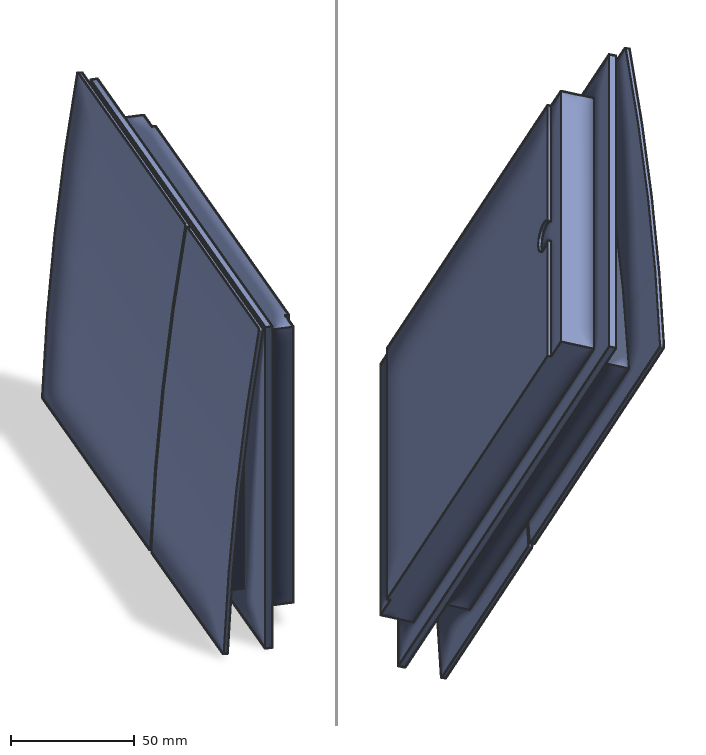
import cadquery as cq
import math

total_width = 250.0
plate_width = 240.8
plate_height = 144.2
plate_thickness = 3.0
mid_z = plate_height / 2

core_width = 181.8
core_height = 117.5

housing_width = 206.0
housing_height = 123.8
housing_depth = 14.2
pad_width = 183.5
pad_thickness = 1.5
notch_diameter = 13.0
notch_opening = 9.8

left_button_width = 148.8
button_gap = 1.5
button_thickness = 1.8
button_corner_radius = 1.0
outer_top_y = -4.0
outer_top_z = 146.2
outer_bottom_y = -19.0
outer_bottom_z = 2.0
bulge = 2.2

chord = math.hypot(outer_top_y - outer_bottom_y, outer_top_z - outer_bottom_z)
outer_radius = (chord / 2) ** 2 / (2 * bulge) + bulge / 2
inner_radius = outer_radius - button_thickness
tilt = math.atan2(outer_top_y - outer_bottom_y, outer_top_z - outer_bottom_z)
half_angle = math.asin(chord / 2 / outer_radius)
center_offset = outer_radius - bulge
center_y = (outer_top_y + outer_bottom_y) / 2 + center_offset * math.cos(tilt)
center_z = (outer_top_z + outer_bottom_z) / 2 - center_offset * math.sin(tilt)


def arc_point(radius, angle):
    """Point (y, z) on a circle about the curve centre; positive angles lie toward the top edge."""
    direction = angle + tilt
    return (center_y - radius * math.cos(direction), center_z + radius * math.sin(direction))


def make_button(x_start, width):
    """Curved sheet of constant thickness with rounded corners."""
    return (
        cq.Workplane("YZ", origin=(x_start, 0, 0))
        .moveTo(*arc_point(outer_radius, -half_angle))
        .threePointArc(arc_point(outer_radius, 0), arc_point(outer_radius, half_angle))
        .lineTo(*arc_point(inner_radius, half_angle))
        .threePointArc(arc_point(inner_radius, 0), arc_point(inner_radius, -half_angle))
        .close()
        .extrude(width)
        .faces(">Z or <Z")
        .edges("not |X")
        .fillet(button_corner_radius)
    )


def block(width, y_front, y_back, height):
    """Box centred on the plate, from y_front to y_back."""
    depth = y_back - y_front
    return cq.Workplane("XY").box(width, depth, height).translate((0, y_front + depth / 2, mid_z))


def make_base_plate():
    """Flat plate with a core block whose front follows the inner face of the buttons."""
    plate = block(plate_width, 0, plate_thickness, plate_height)
    core = block(core_width, outer_bottom_y, 0, core_height)
    inner_cylinder = (
        cq.Workplane("YZ", origin=(-core_width / 2, 0, 0))
        .center(center_y, center_z)
        .circle(inner_radius)
        .extrude(core_width)
    )
    return plate.union(core.intersect(inner_cylinder))


def make_housing():
    """Rear box with a full-height pad, notched at the middle of its left edge."""
    housing_back = plate_thickness + housing_depth
    pad_back = housing_back + pad_thickness
    box = block(housing_width, plate_thickness, housing_back, housing_height)
    pad = block(pad_width, housing_back, pad_back, housing_height)
    notch_radius = notch_diameter / 2
    notch_inset = math.sqrt(notch_radius**2 - (notch_opening / 2) ** 2)
    notch = (
        cq.Workplane("XZ", origin=(-pad_width / 2 + notch_inset, pad_back, mid_z))
        .circle(notch_radius)
        .extrude(pad_thickness)
    )
    return box.union(pad.cut(notch))


base_plate = make_base_plate()
housing = make_housing()
left_edge = -total_width / 2
right_button_start = left_edge + left_button_width + button_gap
button_spans = [
    (left_edge, left_button_width),
    (right_button_start, total_width / 2 - right_button_start),
]
buttons = [make_button(x_start, width) for x_start, width in button_spans]

result = cq.Compound.makeCompound(
    [base_plate.val(), housing.val(), *[button.val() for button in buttons]]
)